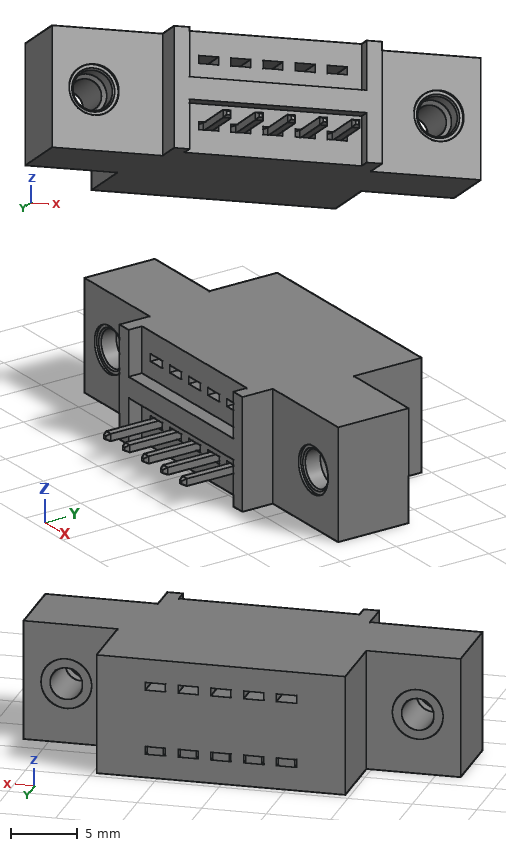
import cadquery as cq

HEIGHT = 9.4
FLANGE_WIDTH = 33.9
FLANGE_DEPTH = 6.38
REAR_WIDTH = 19.3
REAR_DEPTH = 6.15
NOSE_WIDTH = 16.45
NOSE_DEPTH = 2.75

NOSE_FRONT_Y = -NOSE_DEPTH
REAR_Y = FLANGE_DEPTH + REAR_DEPTH

RECESS_WIDTH = 14.0
RECESS_DEPTH = 1.22
RECESS_HEIGHT = 3.83
RECESS_FLOOR_Y = NOSE_FRONT_Y + RECESS_DEPTH

PITCH = 2.55
CONTACTS_PER_ROW = 5
UPPER_ROW_Z = PITCH
LOWER_ROW_Z = -PITCH
SLOT_WIDTH = 1.55
SLOT_HEIGHT = 0.6

PIN_SIZE = SLOT_HEIGHT
PIN_LENGTH = 3.45
TIP_LENGTH = 0.35
TIP_SIZE = 0.27
BLADE_WIDTH = 1.25
SHOULDER_SETBACK = 0.35
SHOULDER_LENGTH = 0.85
PIN_TIP_Y = NOSE_FRONT_Y - PIN_LENGTH

INSERT_SPACING = 27.25
INSERT_RADIUS = 1.95
INSERT_RECESS = 0.2
ENTRY_RADIUS = 1.55
ENTRY_CHAMFER = 0.15
ENTRY_END_Y = 1.7
BORE_RADIUS = 1.25

contact_xs = [(i - (CONTACTS_PER_ROW - 1) / 2) * PITCH for i in range(CONTACTS_PER_ROW)]
insert_xs = [-INSERT_SPACING / 2, INSERT_SPACING / 2]


def block(width, height, y_start, y_end, x=0, z=0):
    """Box centred on (x, z) that spans y_start to y_end."""
    depth = y_end - y_start
    return cq.Workplane("XY").box(width, depth, height).translate((x, y_start + depth / 2, z))


def make_housing():
    body = (
        block(FLANGE_WIDTH, HEIGHT, 0, FLANGE_DEPTH)
        .union(block(REAR_WIDTH, HEIGHT, FLANGE_DEPTH, REAR_Y))
        .union(block(NOSE_WIDTH, HEIGHT, NOSE_FRONT_Y, 0))
    )
    recess_z = (HEIGHT - RECESS_HEIGHT) / 2
    for z in (recess_z, -recess_z):
        body = body.cut(block(RECESS_WIDTH, RECESS_HEIGHT, NOSE_FRONT_Y, RECESS_FLOOR_Y, z=z))
    for z in (UPPER_ROW_Z, LOWER_ROW_Z):
        for x in contact_xs:
            body = body.cut(block(SLOT_WIDTH, SLOT_HEIGHT, RECESS_FLOOR_Y, REAR_Y, x, z))
    for x in insert_xs:
        hole = cq.Solid.makeCylinder(
            INSERT_RADIUS, FLANGE_DEPTH, cq.Vector(x, 0, 0), cq.Vector(0, 1, 0)
        )
        body = body.cut(cq.Workplane(hole))
    return body


def make_contact(x):
    shank_start_y = PIN_TIP_Y + TIP_LENGTH
    tip = (
        cq.Workplane("XZ", origin=(x, shank_start_y, LOWER_ROW_Z))
        .rect(PIN_SIZE, PIN_SIZE)
        .workplane(offset=TIP_LENGTH)
        .rect(TIP_SIZE, TIP_SIZE)
        .loft(ruled=True)
    )
    half_pin = PIN_SIZE / 2
    half_blade = BLADE_WIDTH / 2
    shoulder_start_y = RECESS_FLOOR_Y + SHOULDER_SETBACK
    shoulder_end_y = shoulder_start_y + SHOULDER_LENGTH
    shank_and_blade = (
        cq.Workplane("XY", origin=(x, 0, LOWER_ROW_Z - half_pin))
        .polyline([
            (-half_pin, shank_start_y),
            (half_pin, shank_start_y),
            (half_pin, shoulder_start_y),
            (half_blade, shoulder_end_y),
            (half_blade, REAR_Y),
            (-half_blade, REAR_Y),
            (-half_blade, shoulder_end_y),
            (-half_pin, shoulder_start_y),
        ])
        .close()
        .extrude(PIN_SIZE)
    )
    return shank_and_blade.union(tip)


def make_insert(x):
    """Bush with a chamfered entry bore that narrows through a 45 degree cone."""
    cone_length = ENTRY_RADIUS - BORE_RADIUS
    section = [
        (INSERT_RADIUS, INSERT_RECESS),
        (ENTRY_RADIUS + ENTRY_CHAMFER, INSERT_RECESS),
        (ENTRY_RADIUS, INSERT_RECESS + ENTRY_CHAMFER),
        (ENTRY_RADIUS, ENTRY_END_Y),
        (BORE_RADIUS, ENTRY_END_Y + cone_length),
        (BORE_RADIUS, FLANGE_DEPTH),
        (INSERT_RADIUS, FLANGE_DEPTH),
    ]
    return (
        cq.Workplane("XY")
        .polyline(section)
        .close()
        .revolve(360, (0, 0, 0), (0, 1, 0))
        .translate((x, 0, 0))
    )


housing = make_housing()
contacts = [make_contact(x) for x in contact_xs]
inserts = [make_insert(x) for x in insert_xs]

result = cq.Compound.makeCompound([
    housing.val(),
    *[contact.val() for contact in contacts],
    *[insert.val() for insert in inserts],
])